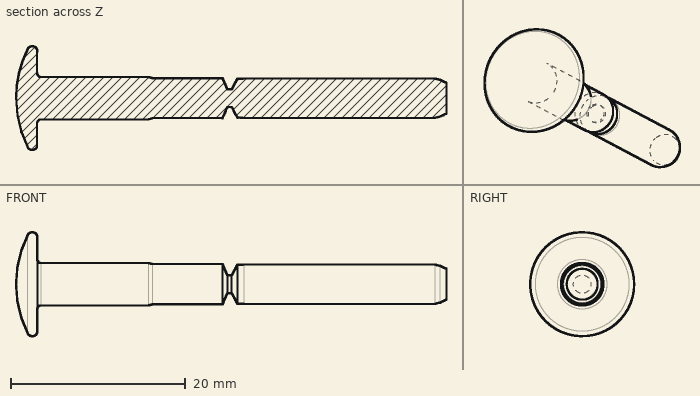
import cadquery as cq
import math

length = 49.25
head_radius = 11.9 / 2

head_height = 2.45
rim_round = 0.6
root_fillet = 0.4

shank_radius = 4.9 / 2
body_radius = 4.65 / 2
neck_radius = 2.05 / 2
collar_radius = 4.5 / 2
pin_radius = 4.55 / 2
nose_radius = 4.25 / 2
tip_radius = 3.55 / 2

shank_end = 15.15
body_start = 15.6
body_end = 23.65
neck_start = 24.2
neck_end = 24.65
collar_start = 25.3
collar_end = 26.1
pin_end = 47.9
nose_start = 48.5

rim_x = head_height - rim_round
rim_y = head_radius - rim_round
crown_radius = (rim_x**2 + rim_y**2 - rim_round**2) / (2 * (rim_x - rim_round))
crown_angle = math.atan2(rim_y, crown_radius - rim_x)


def crown_point(angle):
    """Point on the crown sphere at an angle from the X axis."""
    return (
        crown_radius * (1 - math.cos(angle)),
        crown_radius * math.sin(angle),
    )


fillet_offset = root_fillet * (1 - math.sqrt(0.5))
fillet_middle = (head_height + fillet_offset, shank_radius + fillet_offset)

half_section = (
    cq.Workplane("XY")
    .moveTo(0, 0)
    .threePointArc(crown_point(crown_angle / 2), crown_point(crown_angle))
    .threePointArc((rim_x, head_radius), (head_height, rim_y))
    .lineTo(head_height, shank_radius + root_fillet)
    .threePointArc(fillet_middle, (head_height + root_fillet, shank_radius))
    .lineTo(shank_end, shank_radius)
    .lineTo(body_start, body_radius)
    .lineTo(body_end, body_radius)
    .lineTo(neck_start, neck_radius)
    .lineTo(neck_end, neck_radius)
    .lineTo(collar_start, collar_radius)
    .lineTo(collar_end, pin_radius)
    .lineTo(pin_end, pin_radius)
    .lineTo(nose_start, nose_radius)
    .lineTo(length, tip_radius)
    .lineTo(length, 0)
    .close()
)

result = half_section.revolve(360, (0, 0, 0), (1, 0, 0))